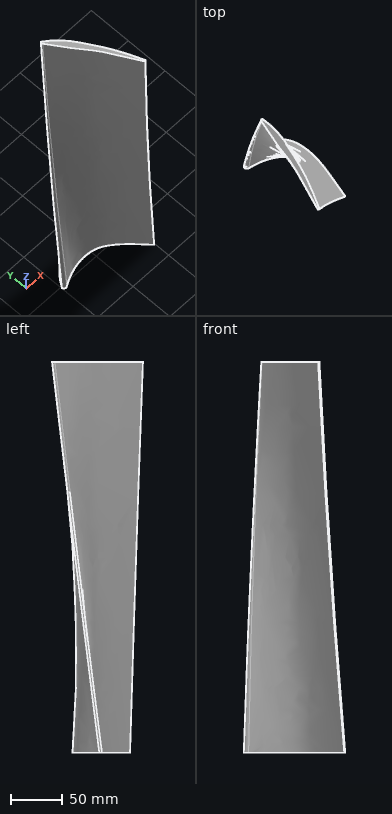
import cadquery as cq

span = 382.0

bow_fraction = 0.65
bow_shift = (-1.5, 0.5)

root_back = [(-49.5, -2.0), (-39.0, 12.2), (-25.0, 22.0), (-10.7, 24.5), (11.0, 15.3), (37.5, -14.0), (49.5, -31.5)]
root_hollow = [(-45.0, -4.2), (-25.5, 4.5), (-9.0, 7.3), (7.5, 4.5), (20.2, -3.0), (35.0, -16.8), (48.5, -32.0)]
root_nose = (-48.0, -4.2)

tip_back = [(-31.5, 44.3), (-21.0, 36.0), (-11.5, 25.2), (-2.3, 11.0), (8.5, -7.3), (16.8, -25.0), (24.5, -44.0)]
tip_hollow = [(-32.0, 41.5), (-21.8, 26.0), (-12.2, 12.5), (-2.3, -0.8), (9.0, -19.5), (16.0, -32.0), (23.0, -44.5)]
tip_nose = (-32.5, 43.0)


def section(back, hollow, nose, height):
    """Closed airfoil with a rounded leading edge and a blunt trailing edge."""
    back_edge = cq.Edge.makeSpline([cq.Vector(x, y, height) for x, y in back])
    trailing_edge = cq.Edge.makeLine(back_edge.endPoint(), cq.Vector(*hollow[-1], height))
    hollow_edge = cq.Edge.makeSpline([cq.Vector(x, y, height) for x, y in reversed(hollow)])
    leading_edge = cq.Edge.makeThreePointArc(
        hollow_edge.endPoint(), cq.Vector(*nose, height), back_edge.startPoint()
    )
    return cq.Wire.assembleEdges([back_edge, trailing_edge, hollow_edge, leading_edge])


def between(root_point, tip_point):
    """Point of the bowed section, on the straight root-to-tip line and then moved by the bow."""
    return tuple(
        start + bow_fraction * (end - start) + shift
        for start, end, shift in zip(root_point, tip_point, bow_shift)
    )


bowed_back = [between(*pair) for pair in zip(root_back, tip_back)]
bowed_hollow = [between(*pair) for pair in zip(root_hollow, tip_hollow)]
bowed_nose = between(root_nose, tip_nose)

root = section(root_back, root_hollow, root_nose, 0)
bowed = section(bowed_back, bowed_hollow, bowed_nose, bow_fraction * span)
tip = section(tip_back, tip_hollow, tip_nose, span)
result = cq.Workplane(cq.Solid.makeLoft([root, bowed, tip]))